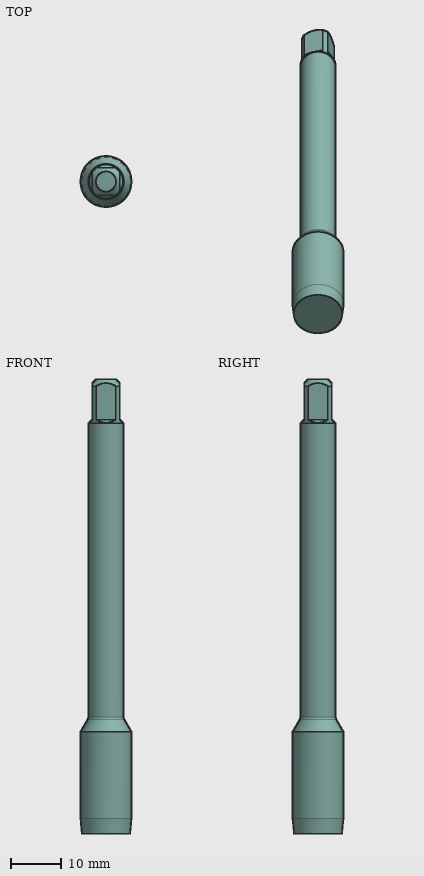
import cadquery as cq
import math


overall_length = 90.1

head_diameter = 10.16
head_length = 20.2
lead_length = 3.1
lead_tip_diameter = 9.6

shank_diameter = 7.0
neck_half_angle = 30.0
neck_fillet_radius = 1.0

flat_count = 4
square_width = 5.5
square_corner_diameter = 6.72
square_length = 8.0
end_face_diameter = 4.0

head_radius = head_diameter / 2
shank_radius = shank_diameter / 2
corner_radius = square_corner_diameter / 2
end_face_radius = end_face_diameter / 2
square_half_width = square_width / 2

neck_top = head_length + (head_radius - shank_radius) / math.tan(math.radians(neck_half_angle))
square_bottom = overall_length - square_length

shank_top = square_bottom - (shank_radius - square_half_width)
end_chamfer_bottom = overall_length - (corner_radius - end_face_radius)


def revolve_profile(points):
    """Turn a closed (radius, height) outline around the Z axis."""
    return cq.Workplane("XZ").polyline(points).close().revolve(360, (0, 0, 0), (0, 1, 0))


def make_cutting_head():
    """Cylinder with a slightly tapered lead at the tip."""
    return revolve_profile([
        (0, 0),
        (lead_tip_diameter / 2, 0),
        (head_radius, lead_length),
        (head_radius, head_length),
        (0, head_length),
    ])


def make_flat_cutter():
    """Material outside the +X flat, ending in the 45 degree runout."""
    reach = shank_diameter
    return (
        cq.Workplane("XZ")
        .moveTo(square_half_width, overall_length)
        .lineTo(square_half_width, square_bottom)
        .lineTo(square_half_width + reach, square_bottom - reach)
        .lineTo(square_half_width + reach, overall_length)
        .close()
        .extrude(shank_radius, both=True)
    )


def make_shank():
    """Filleted conical neck, shank and square drive with a chamfered end."""
    blank = revolve_profile([
        (0, head_length),
        (head_radius, head_length),
        (shank_radius, neck_top),
        (shank_radius, shank_top),
        (corner_radius, shank_top),
        (corner_radius, end_chamfer_bottom),
        (end_face_radius, overall_length),
        (0, overall_length),
    ])
    neck_zone = cq.selectors.BoxSelector(
        (-head_radius, -head_radius, neck_top - neck_fillet_radius),
        (head_radius, head_radius, neck_top + neck_fillet_radius),
    )
    shank = blank.edges("%CIRCLE").edges(neck_zone).fillet(neck_fillet_radius)
    flat_cutter = make_flat_cutter()
    for side in range(flat_count):
        shank = shank.cut(flat_cutter.rotate((0, 0, 0), (0, 0, 1), side * 360 / flat_count))
    return shank


cutting_head = make_cutting_head()
shank = make_shank()

result = cq.Compound.makeCompound([cutting_head.val(), shank.val()])